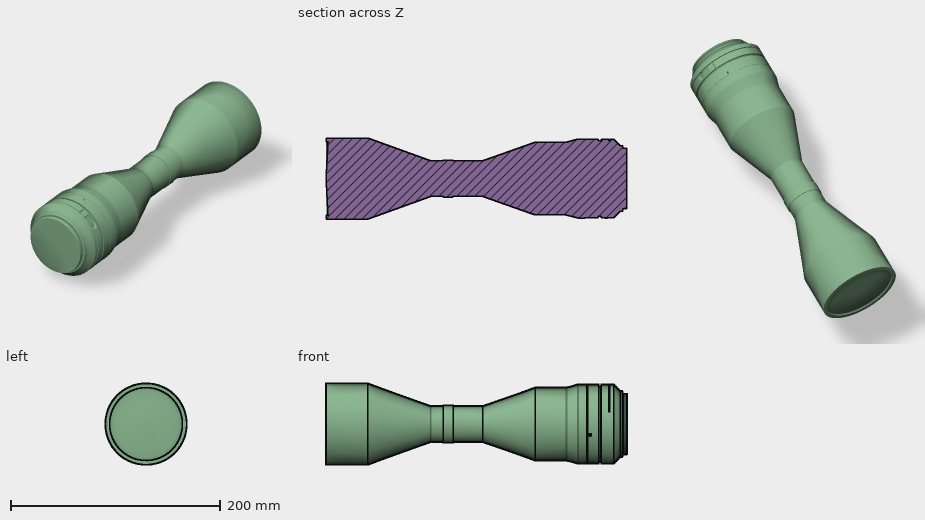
import cadquery as cq

HOOD_END = 40.0
FRONT_CONE_END = 100.0
COLLAR_START = 112.0
COLLAR_END = 121.5
REAR_CONE_START = 150.0
REAR_CONE_END = 200.0
FLARE_START = 229.5
FLARE_END = 240.7
JOINT_START = 249.2
GROOVE_START = 260.5
GROOVE_FLOOR_END = 262.7
GROOVE_END = 263.0
CHAMFER_START = 275.0
LIP_START = 281.0
LIP_END = 283.6
LENGTH = 287.8

HOOD_RADIUS = 39.0
NECK_RADIUS = 17.3
COLLAR_RADIUS = 18.0
BARREL_RADIUS = 35.0
RING_RADIUS = 37.9
TUBE_RADIUS = 36.3
LIP_RADIUS = 31.6
END_RADIUS = 29.2

CONE_BLEND = 2.0
FLARE_BLEND = 3.0
JOINT_WIDTH = 0.8
JOINT_DEPTH = 0.3
LIP_CHAMFER = 0.7
END_TAPER_LENGTH = 0.75
END_TAPER_DEPTH = 0.3

RECESS_RADIUS = 34.8
RECESS_DEPTH = 1.9

SCREW_COUNT = 3
SCREW_X = 252.5
SCREW_DIAMETER = 2.0
SCREW_DEPTH = 3.0
SCREW_FIRST_ANGLE = 14.0

CLAMP_ANGLE = 25.6
SLIT_WIDTH = 1.0
SLOT_START = 270.2
SLOT_WIDTH = 0.8
SLOT_HALF_ANGLE = 97.0
POCKET_WIDTH = 6.6
POCKET_X = 267.0
POCKET_SEAT = 6.5
POCKET_BOTTOM = 31.6


def turned_body():
    outline = [
        (0, 0),
        (RECESS_DEPTH, RECESS_RADIUS),
        (0, RECESS_RADIUS),
        (0, HOOD_RADIUS),
        (HOOD_END, HOOD_RADIUS),
        (FRONT_CONE_END, NECK_RADIUS),
        (COLLAR_START, NECK_RADIUS),
        (COLLAR_START, COLLAR_RADIUS),
        (COLLAR_END, COLLAR_RADIUS),
        (COLLAR_END, NECK_RADIUS),
        (REAR_CONE_START, NECK_RADIUS),
        (REAR_CONE_END, BARREL_RADIUS),
        (FLARE_START, BARREL_RADIUS),
        (FLARE_END, RING_RADIUS),
        (JOINT_START, RING_RADIUS),
        (JOINT_START, RING_RADIUS - JOINT_DEPTH),
        (JOINT_START + JOINT_WIDTH, RING_RADIUS - JOINT_DEPTH),
        (JOINT_START + JOINT_WIDTH, RING_RADIUS),
        (GROOVE_START, RING_RADIUS),
        (GROOVE_START, TUBE_RADIUS),
        (GROOVE_FLOOR_END, TUBE_RADIUS),
        (GROOVE_END, RING_RADIUS),
        (CHAMFER_START, RING_RADIUS),
        (LIP_START, LIP_RADIUS),
        (LIP_END - LIP_CHAMFER, LIP_RADIUS),
        (LIP_END, LIP_RADIUS - LIP_CHAMFER),
        (LIP_END, END_RADIUS - END_TAPER_DEPTH),
        (LIP_END + END_TAPER_LENGTH, END_RADIUS),
        (LENGTH - END_TAPER_LENGTH, END_RADIUS),
        (LENGTH, END_RADIUS - END_TAPER_DEPTH),
        (LENGTH, 0),
    ]
    body = cq.Workplane("XY").polyline(outline).close().revolve(360, (0, 0, 0), (1, 0, 0))
    body = blend_circle(body, FRONT_CONE_END, CONE_BLEND)
    for station in (FLARE_START, FLARE_END):
        body = blend_circle(body, station, FLARE_BLEND)
    return body


def blend_circle(body, station, radius):
    margin = 0.1
    reach = 2 * HOOD_RADIUS
    box = cq.selectors.BoxSelector(
        (station - margin, -reach, -reach), (station + margin, reach, reach), boundingbox=True
    )
    return body.edges(box).fillet(radius)


def turn_from_top(shape, angle):
    """Swing a shape about the part axis from +Z towards +Y."""
    return shape.rotate((0, 0, 0), (1, 0, 0), -angle)


def set_screw_holes():
    hole = cq.Workplane("XY", origin=(SCREW_X, 0, RING_RADIUS - SCREW_DEPTH))
    hole = hole.circle(SCREW_DIAMETER / 2).extrude(2 * SCREW_DEPTH)
    spacing = 360 / SCREW_COUNT
    holes = cq.Workplane("XY")
    for i in range(SCREW_COUNT):
        holes = holes.add(turn_from_top(hole, SCREW_FIRST_ANGLE + i * spacing))
    return holes.combine()


def clamp_slot():
    overshoot = HOOD_RADIUS - TUBE_RADIUS
    profile = cq.Workplane("XY").moveTo(SLOT_START, TUBE_RADIUS)
    profile = profile.rect(SLOT_WIDTH, overshoot, centered=False)
    slot = profile.revolve(2 * SLOT_HALF_ANGLE, (0, 0, 0), (1, 0, 0))
    return turn_from_top(slot, SLOT_HALF_ANGLE - 90)


def clamp_slit():
    length = SLOT_START + SLOT_WIDTH - GROOVE_FLOOR_END
    slit = cq.Workplane("XY").box(length, SLIT_WIDTH, HOOD_RADIUS, centered=(False, True, False))
    return slit.translate((GROOVE_FLOOR_END, 0, 0)).cut(inner_tube())


def clamp_screw_pocket():
    """Round-bottomed channel running along +Y from a flat seat and out through the ring."""
    half = POCKET_WIDTH / 2
    shoulder = POCKET_BOTTOM + half
    channel = (
        cq.Workplane("XZ", origin=(POCKET_X, POCKET_SEAT, 0))
        .moveTo(-half, HOOD_RADIUS)
        .lineTo(-half, shoulder)
        .threePointArc((0, POCKET_BOTTOM), (half, shoulder))
        .lineTo(half, HOOD_RADIUS)
        .close()
        .extrude(-HOOD_RADIUS)
    )
    return channel.cut(inner_tube())


def inner_tube():
    return cq.Workplane("YZ").circle(TUBE_RADIUS).extrude(LENGTH)


result = turned_body().cut(set_screw_holes())
for clamp_cut in (clamp_slot(), clamp_slit(), clamp_screw_pocket()):
    result = result.cut(turn_from_top(clamp_cut, CLAMP_ANGLE))